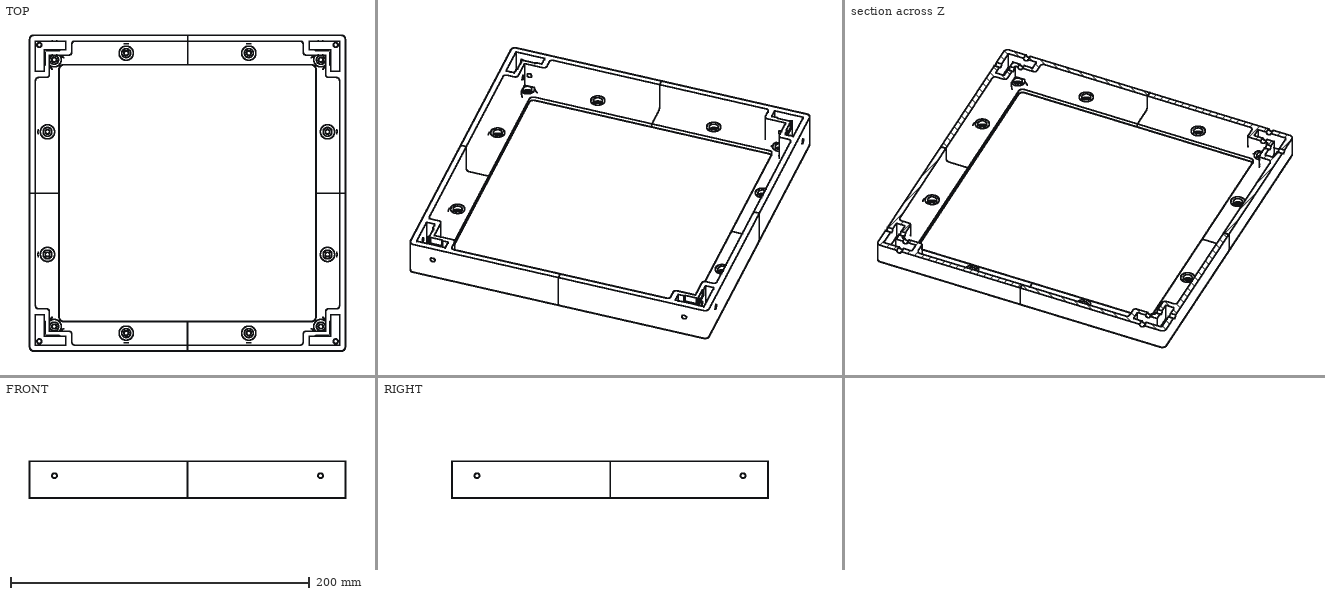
import cadquery as cq
SIDE = 212.0
HEIGHT = 24.8
WALL = 4.0
CORNER_RADIUS = 3.0

FLANGE_WIDTH = 20.0
FLANGE_THICKNESS = 3.0
OPENING_RADIUS = 3.0
BASE_FILLET = 2.0

BLOCK_WIDTH = 13.4
BLOCK_FILLET = BASE_FILLET
POCKET_WIDTH = 10.0
POCKET_LENGTH = 24.4
BLOCK_LENGTH = POCKET_LENGTH + WALL
POCKET_FLOOR_Z = FLANGE_THICKNESS
NOTCH_START = 11.0
NOTCH_END = 20.4
NOTCH_DEPTH = 5.0
NOTCH_RECESS = 0.6
PIN_HOLE_DIAMETER = 3.0
PIN_HOLE_INSET = 6.5

SIDE_HOLE_DIAMETER = 3.2
SIDE_HOLE_INSET = 16.7
SIDE_HOLE_Z = 15.0

BOSS_DIAMETER = 9.5
BOSS_HEIGHT = 2.5
SCREW_HOLE_DIAMETER = 3.0
COUNTERBORE_DIAMETER = 6.0
COUNTERBORE_DEPTH = 3.0
CORNER_BOSS_INSET = 16.5
SIDE_BOSS_INSET = 12.0
SIDE_BOSS_OFFSET = 41.1

HALF = SIDE / 2
BOSS_TOP = FLANGE_THICKNESS + BOSS_HEIGHT

SIDE_BOSS_RUN = HALF - SIDE_BOSS_OFFSET
BOSS_CENTERS = [
    (CORNER_BOSS_INSET, CORNER_BOSS_INSET),
    (SIDE_BOSS_RUN, SIDE_BOSS_INSET),
    (SIDE_BOSS_INSET, SIDE_BOSS_RUN),
]


def box(x_range, y_range, z_range):
    """Axis-aligned box between the given limits."""
    sizes = [high - low for low, high in (x_range, y_range, z_range)]
    corner = (x_range[0], y_range[0], z_range[0])
    return cq.Workplane("XY").box(*sizes, centered=False).translate(corner)


def l_shape(inset, width, length, z_range):
    """L-shaped prism hugging the outer corner, its legs ending at length."""
    leg_x = box((inset, length), (inset, width), z_range)
    leg_y = box((inset, width), (inset, length), z_range)
    return leg_x.union(leg_y)


def outer_block():
    """Full-height quarter block with the rounded outer corner."""
    block = box((0, HALF), (0, HALF), (0, HEIGHT))
    return block.edges("|Z and <X and <Y").fillet(CORNER_RADIUS)


def opening():
    """Space inside the flange, with a rounded corner."""
    hole = box((FLANGE_WIDTH, SIDE), (FLANGE_WIDTH, SIDE), (-HEIGHT, 2 * HEIGHT))
    return hole.edges("|Z and <X and <Y").fillet(OPENING_RADIUS)


def round_upright_edges(body, corners, radius):
    """Fillet the upright edges that stand at the given corners."""
    for x, y in corners:
        edge_picker = cq.selectors.NearestToPointSelector((x, y, HEIGHT))
        body = body.edges("|Z").edges(edge_picker).fillet(radius)
    return body


def cavity():
    """Space above the flange, between the walls and around the corner block."""
    z_range = (FLANGE_THICKNESS, 2 * HEIGHT)
    space = box((WALL, SIDE), (WALL, SIDE), z_range)
    space = space.cut(l_shape(0, BLOCK_WIDTH, BLOCK_LENGTH, z_range))
    wall_corners = [(WALL, BLOCK_LENGTH), (BLOCK_LENGTH, WALL)]
    block_corners = [(BLOCK_WIDTH, BLOCK_LENGTH), (BLOCK_LENGTH, BLOCK_WIDTH)]
    space = round_upright_edges(space, wall_corners + block_corners, BLOCK_FILLET)
    return space.faces("<Z").edges().fillet(BASE_FILLET)


def boss(center):
    """Screw boss whose side flares into the flange in a quarter-round."""
    radius = BOSS_DIAMETER / 2
    foot_radius = radius + BASE_FILLET
    flare_center_z = FLANGE_THICKNESS + BASE_FILLET
    diagonal = BASE_FILLET * 0.5**0.5
    profile = (
        cq.Workplane("XZ")
        .lineTo(foot_radius, 0)
        .lineTo(foot_radius, FLANGE_THICKNESS)
        .threePointArc((foot_radius - diagonal, flare_center_z - diagonal), (radius, flare_center_z))
        .lineTo(radius, BOSS_TOP)
        .lineTo(0, BOSS_TOP)
        .close()
    )
    return profile.revolve(360, (0, 0), (0, 1)).translate((*center, 0))


def screw_hole(center):
    """Through hole with a counterbore from the top of the boss."""
    hole = cq.Workplane("XY").circle(SCREW_HOLE_DIAMETER / 2).extrude(BOSS_TOP)
    counterbore = (
        cq.Workplane("XY", origin=(0, 0, BOSS_TOP - COUNTERBORE_DEPTH))
        .circle(COUNTERBORE_DIAMETER / 2)
        .extrude(COUNTERBORE_DEPTH)
    )
    return hole.union(counterbore).translate((*center, 0))


def wall_notches():
    """Shallow slanted-end notch in the inner wall of each pocket leg."""
    outline = [
        (POCKET_WIDTH, NOTCH_START),
        (POCKET_WIDTH + NOTCH_RECESS, NOTCH_START + NOTCH_RECESS),
        (POCKET_WIDTH + NOTCH_RECESS, NOTCH_END - NOTCH_RECESS),
        (POCKET_WIDTH, NOTCH_END),
    ]
    mirrored_outline = [(y, x) for x, y in outline]
    top = cq.Workplane("XY", origin=(0, 0, HEIGHT))
    notch_y = top.polyline(outline).close().extrude(-NOTCH_DEPTH)
    notch_x = top.polyline(mirrored_outline).close().extrude(-NOTCH_DEPTH)
    return [notch_x, notch_y]


def corner_pocket():
    """L-shaped pocket, its wall notches and the hole through its floor."""
    pocket = l_shape(WALL, POCKET_WIDTH, POCKET_LENGTH, (POCKET_FLOOR_Z, HEIGHT))
    for notch in wall_notches():
        pocket = pocket.union(notch)
    pin_hole = (
        cq.Workplane("XY")
        .center(PIN_HOLE_INSET, PIN_HOLE_INSET)
        .circle(PIN_HOLE_DIAMETER / 2)
        .extrude(HEIGHT)
    )
    return pocket.union(pin_hole)


def side_holes():
    """One hole along X and one along Y, crossing the outer wall and the block."""
    radius = SIDE_HOLE_DIAMETER / 2
    along_x = cq.Workplane("YZ").center(SIDE_HOLE_INSET, SIDE_HOLE_Z).circle(radius).extrude(BLOCK_WIDTH)
    along_y = cq.Workplane("XZ").center(SIDE_HOLE_INSET, SIDE_HOLE_Z).circle(radius).extrude(-BLOCK_WIDTH)
    return along_x.union(along_y)


def frame_quarter():
    """One corner piece of the frame."""
    quarter = outer_block().cut(cavity())
    for center in BOSS_CENTERS:
        quarter = quarter.union(boss(center))
    quarter = quarter.cut(opening())
    for center in BOSS_CENTERS:
        quarter = quarter.cut(screw_hole(center))
    return quarter.cut(corner_pocket()).cut(side_holes())


corner_piece = frame_quarter().translate((-HALF, -HALF, 0))
frame_quarters = []
for turn in range(4):
    frame_quarters.append(corner_piece.rotate((0, 0, 0), (0, 0, 1), 90 * turn))

result = cq.Compound.makeCompound([quarter.val() for quarter in frame_quarters])